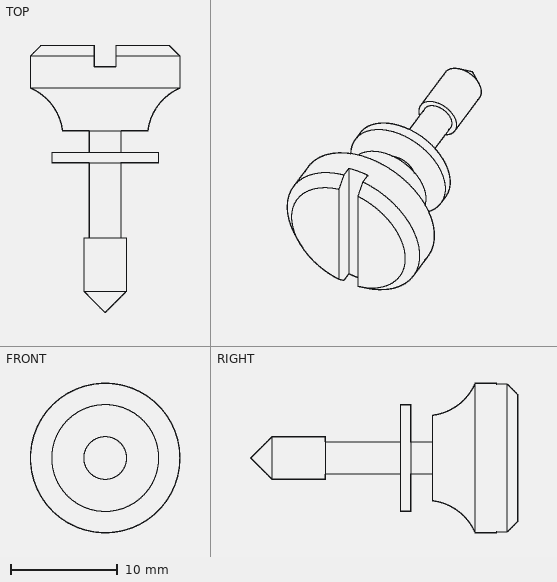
import cadquery as cq
import math

tip_y = 0.0
tip_length = 2.0
thread_length = 5.0
shank_length = 10.0
flare_length = 4.0
head_rim_length = 4.0
head_chamfer = 1.0

thread_radius = 2.0
shank_radius = 1.5
neck_radius = 4.0
head_radius = 7.0
flare_arc_radius = 5.0

slot_width = 2.0
slot_depth = 2.0

washer_radius = 5.0
washer_bore_radius = 1.8
washer_thickness = 1.0
washer_gap = 2.0

thread_start_y = tip_y + tip_length
thread_end_y = thread_start_y + thread_length
neck_y = thread_end_y + shank_length
rim_y = neck_y + flare_length
head_top_y = rim_y + head_rim_length


def flare_midpoint():
    """Middle of the concave arc that joins the neck to the head rim."""
    flare_step = head_radius - neck_radius
    chord = math.hypot(flare_step, flare_length)
    sagitta = flare_arc_radius - math.sqrt(flare_arc_radius**2 - (chord / 2) ** 2)
    radius = neck_radius + flare_step / 2 - sagitta * flare_length / chord
    return radius, neck_y + flare_length / 2 + sagitta * flare_step / chord


def make_screw():
    """Revolved thumb screw with a driver slot across its head."""
    body = (
        cq.Workplane("XY")
        .moveTo(0, tip_y)
        .lineTo(thread_radius, thread_start_y)
        .lineTo(thread_radius, thread_end_y)
        .lineTo(shank_radius, thread_end_y)
        .lineTo(shank_radius, neck_y)
        .lineTo(neck_radius, neck_y)
        .threePointArc(flare_midpoint(), (head_radius, rim_y))
        .lineTo(head_radius, head_top_y - head_chamfer)
        .lineTo(head_radius - head_chamfer, head_top_y)
        .lineTo(0, head_top_y)
        .close()
        .revolve(360, (0, 0, 0), (0, 1, 0))
    )
    slot = cq.Workplane("XY").box(slot_width, slot_depth, 2 * head_radius)
    return body.cut(slot.translate((0, head_top_y - slot_depth / 2, 0)))


def make_washer():
    """Flat washer around the shank, held clear of the head."""
    washer_top_y = neck_y - washer_gap
    return (
        cq.Workplane("XZ", origin=(0, washer_top_y, 0))
        .circle(washer_radius)
        .circle(washer_bore_radius)
        .extrude(washer_thickness)
    )


screw = make_screw()
washer = make_washer()
result = cq.Compound.makeCompound([screw.val(), washer.val()])